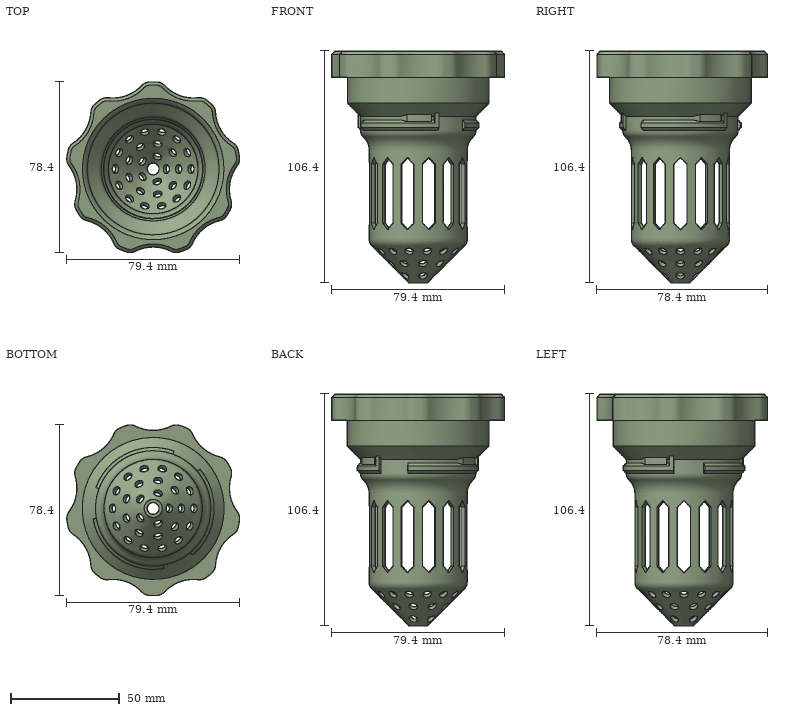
import cadquery as cq
import math

height = 106.4

grip_height = 12.0
lobe_count = 9
lobe_radius = 40.0
valley_radius = 18.1
valley_floor = 35.9
lobe_corner_radius = 5.2
grip_chamfer = 1.5
first_valley_angle = 270.0

body_radius = 32.5
neck_radius = 26.5
tube_radius = 22.5
tip_radius = 4.1
body_bottom = 82.5
neck_bottom = 68.3
neck_top = body_bottom - (body_radius - neck_radius)
tube_top = neck_bottom - (neck_radius - tube_radius)
tube_bottom = tube_radius - tip_radius

rim_radius = 32.4
body_bore = 30.2
neck_bore = 23.8
tube_bore = 20.5
drain_radius = 2.7
rim_bottom = height - (rim_radius - body_bore)
body_bore_bottom = 84.0
neck_bore_bottom = 68.5
neck_bore_top = body_bore_bottom - (body_bore - neck_bore)
tube_bore_top = neck_bore_bottom - (neck_bore - tube_bore)
cone_wall = tube_radius - tube_bore
cone_bore_apex = cone_wall * math.sqrt(2) - tip_radius
tube_bore_bottom = tube_bore + cone_bore_apex

small_blend = 4.0
step_blend = 3.0
throat_blend = 8.0

slot_count = 14
slot_width = 6.0
slot_bottom = 24.6
slot_top = 57.5

drain_hole_diameter = 3.9
hole_rows = [(5, 3.3), (9, 8.9), (14, 14.6)]

rib_count = 3
rib_radius = 28.0
rib_bottom = 70.0
rib_top = 74.9
rib_span = 90.0
first_rib_end = 290.0
stop_width = 2.0
bump_radius = 27.3
bump_start = 7.0
bump_end = 31.0
bump_ramp_end = 37.5
overlap = 1.1


def polar(radius, angle):
    """The X, Y point at a radius and an angle in degrees."""
    a = math.radians(angle)
    return (radius * math.cos(a), radius * math.sin(a))


def rounded_revolve(corners):
    """Revolve a profile of (radius, height, blend) corners about Z; blend 0 keeps a corner sharp."""
    profile = cq.Workplane("XZ")
    for i, (r, z, blend) in enumerate(corners):
        corner = cq.Vector(r, z)
        if blend == 0:
            profile = profile.lineTo(r, z) if i else profile.moveTo(r, z)
            continue
        before = cq.Vector(*corners[i - 1][:2])
        after = cq.Vector(*corners[i + 1][:2])
        back = (before - corner).normalized()
        ahead = (after - corner).normalized()
        half_angle = back.getAngle(ahead) / 2
        setback = blend / math.tan(half_angle)
        inward = (back + ahead).normalized()
        middle = corner + inward * (blend / math.sin(half_angle) - blend)
        start = corner + back * setback
        end = corner + ahead * setback
        profile = profile.lineTo(start.x, start.y)
        profile = profile.threePointArc((middle.x, middle.y), (end.x, end.y))
    return profile.close().revolve(360, (0, 0), (0, 1))


def ring_segment(profile, start_angle, end_angle):
    """Sweep a (radius, height) profile about Z between two angles."""
    segment = cq.Workplane("XZ").polyline(profile).close().revolve(end_angle - start_angle, (0, 0), (0, 1))
    return turned(segment, start_angle)


def make_grip():
    """A disc with scallops cut around its rim and the lobes between them rounded."""
    pitch = 360 / lobe_count
    valley_center = valley_floor + valley_radius
    half_valley = math.degrees(math.acos(
        (lobe_radius**2 + valley_center**2 - valley_radius**2) / (2 * lobe_radius * valley_center)
    ))
    outline = (
        cq.Workplane("XY").workplane(offset=height - grip_height)
        .moveTo(*polar(lobe_radius, first_valley_angle - half_valley))
    )
    for i in range(lobe_count):
        valley = first_valley_angle + i * pitch
        outline = outline.threePointArc(
            polar(valley_floor, valley),
            polar(lobe_radius, valley + half_valley),
        )
        outline = outline.threePointArc(
            polar(lobe_radius, valley + pitch / 2),
            polar(lobe_radius, valley + pitch - half_valley),
        )
    grip = outline.close().extrude(grip_height)
    return grip.edges("|Z").fillet(lobe_corner_radius).faces(">Z").edges().chamfer(grip_chamfer)


def make_shell():
    """The solid outer form, from the blunt tip up to the rim."""
    return rounded_revolve([
        (0, 0, 0),
        (tip_radius, 0, 0),
        (tube_radius, tube_bottom, small_blend),
        (tube_radius, tube_top, throat_blend),
        (neck_radius, neck_bottom, small_blend),
        (neck_radius, neck_top, 0),
        (body_radius, body_bottom, 0),
        (body_radius, height, 0),
        (0, height, 0),
    ])


def make_bore():
    """The inner cavity, with the drain hole through the tip."""
    cavity = rounded_revolve([
        (0, cone_bore_apex, 0),
        (tube_bore, tube_bore_bottom, small_blend - cone_wall),
        (tube_bore, tube_bore_top, throat_blend),
        (neck_bore, neck_bore_bottom, small_blend),
        (neck_bore, neck_bore_top, small_blend),
        (body_bore, body_bore_bottom, step_blend),
        (body_bore, rim_bottom, small_blend),
        (rim_radius, height, 0),
        (0, height, 0),
    ])
    drain = cq.Workplane("XY").circle(drain_radius).extrude(tube_bottom)
    return cavity.union(drain)


def make_bayonet_rib():
    """A bevelled rib ending at angle 0, where its last stretch rises into the cone as a stop."""
    bevel = rib_radius - neck_radius
    root = (neck_bore + neck_radius) / 2
    stop_top = body_bottom - (body_radius - rib_radius) + overlap
    stop_span = math.degrees(stop_width / rib_radius)
    underside = [
        (root, rib_bottom),
        (neck_radius, rib_bottom),
        (rib_radius, rib_bottom + bevel),
    ]
    rib_profile = underside + [
        (rib_radius, rib_top - bevel),
        (neck_radius, rib_top),
        (root, rib_top),
    ]
    stop_profile = underside + [
        (rib_radius, stop_top),
        (root, stop_top),
    ]
    rib = ring_segment(rib_profile, -rib_span, -stop_span)
    stop = ring_segment(stop_profile, -stop_span, 0)
    return rib.union(stop)


def make_bump():
    """The raised pad on the neck above the rib, with a ramp leading up to it."""
    bump_top = body_bottom - (body_radius - bump_radius) + overlap
    bump_bottom = rib_top - (bump_radius - neck_radius)
    middle = -(bump_start + bump_end) / 2
    return (
        cq.Workplane("XY").workplane(offset=bump_bottom)
        .moveTo(0, 0)
        .lineTo(*polar(neck_radius, -bump_ramp_end))
        .lineTo(*polar(bump_radius, -bump_end))
        .threePointArc(polar(bump_radius, middle), polar(bump_radius, -bump_start))
        .close()
        .extrude(bump_top - bump_bottom)
    )


def make_slot_cutter():
    """One upright slot with pointed ends, cut outward from the axis at angle 0."""
    half = slot_width / 2
    outline = [
        (0, slot_bottom),
        (half, slot_bottom + half),
        (half, slot_top - half),
        (0, slot_top),
        (-half, slot_top - half),
        (-half, slot_bottom + half),
    ]
    return cq.Workplane("YZ").polyline(outline).close().extrude(body_radius)


def make_hole_cutter(z):
    """A drill through the tip cone at angle 0, running one wall thickness past each face."""
    outer_point = cq.Vector(tip_radius + z, 0, z)
    axis = cq.Vector(1, 0, -1).normalized()
    start = outer_point - axis * (2 * cone_wall)
    drill = cq.Solid.makeCylinder(drain_hole_diameter / 2, 3 * cone_wall, start, axis)
    return cq.Workplane(drill)


def turned(shape, angle):
    """Turn a shape about the Z axis."""
    return shape.rotate((0, 0, 0), (0, 0, 1), angle)


body = make_shell().union(make_grip())
rib = make_bayonet_rib()
bump = make_bump()
for i in range(rib_count):
    angle = first_rib_end + i * 360 / rib_count
    for piece in (rib, bump):
        body = body.union(turned(piece, angle))

body = body.cut(make_bore())
slot = make_slot_cutter()
for i in range(slot_count):
    body = body.cut(turned(slot, i * 360 / slot_count))
for count, z in hole_rows:
    hole = make_hole_cutter(z)
    for i in range(count):
        body = body.cut(turned(hole, i * 360 / count))

result = body